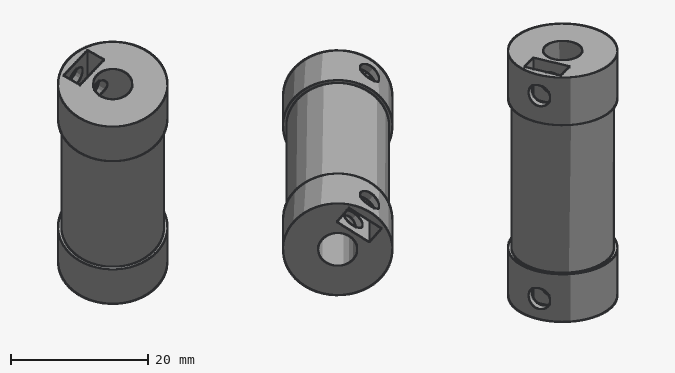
import cadquery as cq

length = 41.0
body_diameter = 15.0
collar_diameter = 16.0
collar_length = 8.0
bore_diameter = 5.7

screw_diameter = 3.5
screw_inset = 3.5
pocket_thickness = 3.0
pocket_width = 5.9
pocket_center_x = -5.25
pocket_depth = 2 * screw_inset


def cylinder(diameter, height, base_z=0.0):
    return cq.Workplane("XY").workplane(offset=base_z).circle(diameter / 2).extrude(height)


def screw_hole(axis_z):
    """Radial hole from the -X surface into the bore."""
    return (
        cq.Workplane("YZ")
        .center(0, axis_z)
        .circle(screw_diameter / 2)
        .extrude(-collar_diameter / 2)
    )


def nut_pocket(center_z):
    """Rectangular pocket that crosses the screw hole."""
    return cq.Workplane("XY").box(pocket_thickness, pocket_width, pocket_depth).translate(
        (pocket_center_x, 0, center_z)
    )


result = cylinder(body_diameter, length)
for collar_base in (0.0, length - collar_length):
    result = result.union(cylinder(collar_diameter, collar_length, collar_base))

result = result.cut(cylinder(bore_diameter, length))
for screw_z in (screw_inset, length - screw_inset):
    result = result.cut(screw_hole(screw_z))
for pocket_z in (pocket_depth / 2, length - pocket_depth / 2):
    result = result.cut(nut_pocket(pocket_z))